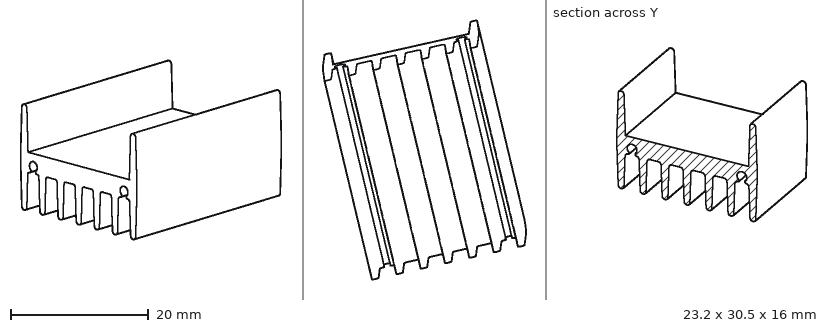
import cadquery as cq
import math

LENGTH = 30.5
WIDTH = 23.2
HEIGHT = 16.0
FLOOR_Z = 8.9
SLOT_ROOF_Z = 5.9
BAND_BOTTOM_Z = 6.9

FIN_COUNT = 7
FIN_TIP_WIDTH = 1.0
DRAFT_ANGLE = math.radians(2.0)
SLOT_CORNER_RADIUS = 0.4

CHANNEL_RADIUS = 0.77
CHANNEL_Z = 6.9
LIP_RADIUS = 0.255

DRAFT = math.tan(DRAFT_ANGLE)
HALF_WIDTH = WIDTH / 2
LOWER_TIP_X = HALF_WIDTH - BAND_BOTTOM_Z * DRAFT - FIN_TIP_WIDTH / 2
UPPER_TIP_X = HALF_WIDTH - (HEIGHT - FLOOR_Z) * DRAFT - FIN_TIP_WIDTH / 2
FIN_PITCH = 2 * LOWER_TIP_X / (FIN_COUNT - 1)
KEYHOLE_X = LOWER_TIP_X - FIN_PITCH / 2

TIP_TANGENT_DEPTH = FIN_TIP_WIDTH / 2
TIP_TANGENT_HALF = FIN_TIP_WIDTH / 2 + TIP_TANGENT_DEPTH * DRAFT


def half_fin_width(distance_from_tip):
    """Half the width of a drafted fin at a distance from its end."""
    return FIN_TIP_WIDTH / 2 + distance_from_tip * DRAFT


def extrude_closed(outline):
    """Close an XZ outline and extrude it along the length, centred on Y = 0."""
    return outline.close().extrude(LENGTH / 2, both=True)


def make_base_plate():
    """Plate that carries the fins and joins the two side walls."""
    return extrude_closed(
        cq.Workplane("XZ")
        .moveTo(-LOWER_TIP_X, SLOT_ROOF_Z)
        .lineTo(LOWER_TIP_X, SLOT_ROOF_Z)
        .lineTo(LOWER_TIP_X, FLOOR_Z)
        .lineTo(-LOWER_TIP_X, FLOOR_Z)
    )


def make_inner_fin(center_x):
    """Drafted fin with a fully rounded tip, hanging from the base plate."""
    root_half = half_fin_width(SLOT_ROOF_Z)
    return extrude_closed(
        cq.Workplane("XZ")
        .moveTo(center_x - root_half, SLOT_ROOF_Z)
        .lineTo(center_x - TIP_TANGENT_HALF, TIP_TANGENT_DEPTH)
        .threePointArc((center_x, 0), (center_x + TIP_TANGENT_HALF, TIP_TANGENT_DEPTH))
        .lineTo(center_x + root_half, SLOT_ROOF_Z)
    )


def make_right_wall():
    """Side wall on +X: outermost fin below the plate, upright flange above it."""
    upper_tangent_z = HEIGHT - TIP_TANGENT_DEPTH
    return extrude_closed(
        cq.Workplane("XZ")
        .moveTo(LOWER_TIP_X - half_fin_width(SLOT_ROOF_Z), SLOT_ROOF_Z)
        .lineTo(LOWER_TIP_X - TIP_TANGENT_HALF, TIP_TANGENT_DEPTH)
        .threePointArc((LOWER_TIP_X, 0), (LOWER_TIP_X + TIP_TANGENT_HALF, TIP_TANGENT_DEPTH))
        .lineTo(HALF_WIDTH, BAND_BOTTOM_Z)
        .lineTo(HALF_WIDTH, FLOOR_Z)
        .lineTo(UPPER_TIP_X + TIP_TANGENT_HALF, upper_tangent_z)
        .threePointArc((UPPER_TIP_X, HEIGHT), (UPPER_TIP_X - TIP_TANGENT_HALF, upper_tangent_z))
        .lineTo(UPPER_TIP_X - half_fin_width(HEIGHT - FLOOR_Z), FLOOR_Z)
    )


def round_slot_corners(body):
    """Round the two corners where each slot meets the base plate."""
    roof_half = FIN_PITCH / 2 - half_fin_width(SLOT_ROOF_Z)
    roof_reach = KEYHOLE_X + roof_half
    margin = SLOT_CORNER_RADIUS / 2
    corners = cq.selectors.BoxSelector(
        (-roof_reach - margin, -LENGTH, SLOT_ROOF_Z - margin),
        (roof_reach + margin, LENGTH, SLOT_ROOF_Z + margin),
    )
    return body.edges("|Y").edges(corners).fillet(SLOT_CORNER_RADIUS)


def make_keyhole(center_x):
    """Round channel opening into the slot roof between two lips.

    Each lip is an arc tangent to both the channel and the slot roof.
    """
    lip_z = SLOT_ROOF_Z + LIP_RADIUS
    center_distance = CHANNEL_RADIUS + LIP_RADIUS
    lip_x = math.sqrt(center_distance**2 - (CHANNEL_Z - lip_z) ** 2)
    tangent_share = CHANNEL_RADIUS / center_distance
    tangent_x = lip_x * tangent_share
    tangent_z = CHANNEL_Z + (lip_z - CHANNEL_Z) * tangent_share
    neck_half = lip_x - LIP_RADIUS
    return extrude_closed(
        cq.Workplane("XZ")
        .moveTo(center_x - lip_x, SLOT_ROOF_Z)
        .threePointArc((center_x - neck_half, lip_z), (center_x - tangent_x, tangent_z))
        .threePointArc((center_x, CHANNEL_Z + CHANNEL_RADIUS), (center_x + tangent_x, tangent_z))
        .threePointArc((center_x + neck_half, lip_z), (center_x + lip_x, SLOT_ROOF_Z))
    )


def make_heatsink():
    """Join the plate, walls and fins, round the slot corners, then cut the keyholes."""
    right_wall = make_right_wall()
    body = make_base_plate().union(right_wall).union(right_wall.mirror("YZ"))
    for index in range(1, FIN_COUNT - 1):
        body = body.union(make_inner_fin(index * FIN_PITCH - LOWER_TIP_X))
    body = round_slot_corners(body)
    for center_x in (-KEYHOLE_X, KEYHOLE_X):
        body = body.cut(make_keyhole(center_x))
    return body


result = make_heatsink()